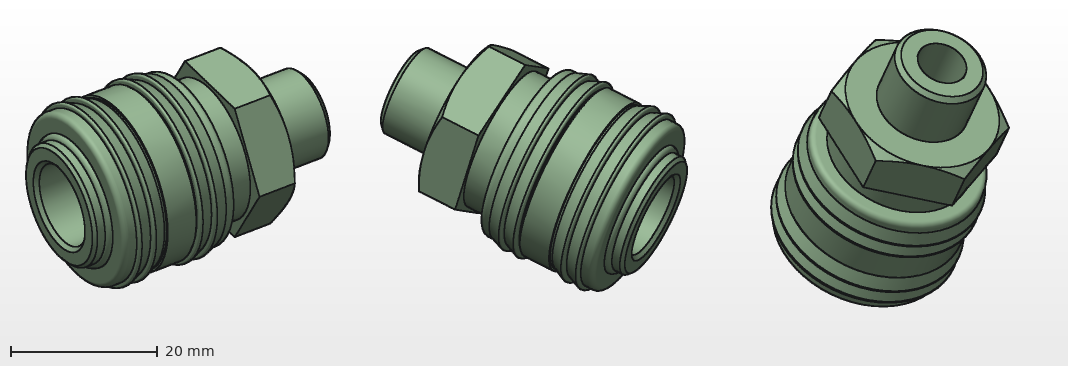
import cadquery as cq
import math


collar_front = 1.75
sleeve_front = 2.5
sleeve_rear = 20.5
hex_front = 24.3
hex_rear = 31.0
total_length = 40.0

nose_radius = 9.0
nose_chamfer = 0.5
collar_fillet = sleeve_front - collar_front
collar_radius = nose_radius + collar_fillet

sleeve_radius = 12.7
sleeve_fillet = 0.8
groove_radius = 12.5
groove_width = 0.33
band_radius = 12.85

crest_radius = 13.4
crest_round = 0.28
crest_land = 0.15
tooth_root_radius = 12.6
tooth_pitch = 2.3
front_teeth_start = 4.5
rear_teeth_start = 14.33

neck_radius = 10.35
across_flats = 22.0
hex_chamfer_angle = 30.0
spigot_radius = 6.55
spigot_chamfer = 0.7

socket_radius = 6.0
socket_chamfer = 0.6
socket_depth = sleeve_rear
passage_radius = 3.5


def cylinder(radius, start, end):
    """Cylinder about the Y axis between two stations."""
    return cq.Workplane("XZ", origin=(0, start, 0)).circle(radius).extrude(start - end)


def add_tooth(profile, face_station, end_radius):
    """Continue a (radius, station) profile over one tooth, ending at the foot of its cone."""
    land_start = face_station + crest_round
    return (
        profile.lineTo(crest_radius - crest_round, face_station)
        .radiusArc((crest_radius, land_start), -crest_round)
        .lineTo(crest_radius, land_start + crest_land)
        .lineTo(end_radius, face_station + tooth_pitch)
    )


def make_sleeve():
    band_front = front_teeth_start + 2 * tooth_pitch + groove_width
    band_rear = rear_teeth_start - groove_width

    profile = (
        cq.Workplane("XY")
        .moveTo(0, sleeve_front)
        .lineTo(sleeve_radius - sleeve_fillet, sleeve_front)
        .radiusArc((sleeve_radius, sleeve_front + sleeve_fillet), -sleeve_fillet)
        .lineTo(sleeve_radius, front_teeth_start)
    )
    profile = add_tooth(profile, front_teeth_start, tooth_root_radius)
    profile = add_tooth(profile, front_teeth_start + tooth_pitch, groove_radius)
    profile = (
        profile.lineTo(groove_radius, band_front)
        .lineTo(band_radius, band_front)
        .lineTo(band_radius, band_rear)
        .lineTo(groove_radius, band_rear)
        .lineTo(groove_radius, rear_teeth_start)
    )
    profile = add_tooth(profile, rear_teeth_start, tooth_root_radius)
    profile = add_tooth(profile, rear_teeth_start + tooth_pitch, sleeve_radius)
    profile = (
        profile.lineTo(sleeve_radius, sleeve_rear - sleeve_fillet)
        .radiusArc((sleeve_radius - sleeve_fillet, sleeve_rear), -sleeve_fillet)
        .lineTo(0, sleeve_rear)
    )
    return profile.close().revolve(360, (0, 0, 0), (0, 1, 0))


def make_nose():
    """Chamfered nose with the rounded collar, reaching into the sleeve."""
    nose = cylinder(nose_radius, 0, sleeve_rear).faces("<Y").chamfer(nose_chamfer)
    collar = cylinder(collar_radius, collar_front, sleeve_rear).faces("<Y").edges().fillet(collar_fillet)
    return nose.union(collar)


def make_hexagon():
    """Hexagon with flats facing +Z and -Z, its rear corners turned off by a cone."""
    flat_radius = across_flats / 2
    corner_radius = flat_radius / math.cos(math.pi / 6)
    prism = (
        cq.Workplane("XZ", origin=(0, hex_front, 0))
        .polygon(6, 2 * corner_radius)
        .extrude(hex_front - hex_rear)
    )
    slope = math.tan(math.radians(hex_chamfer_angle))
    hex_length = hex_rear - hex_front
    cone = (
        cq.Workplane("XY")
        .moveTo(0, hex_front)
        .lineTo(flat_radius + hex_length / slope, hex_front)
        .lineTo(flat_radius, hex_rear)
        .lineTo(0, hex_rear)
        .close()
        .revolve(360, (0, 0, 0), (0, 1, 0))
    )
    return prism.intersect(cone)


def make_spigot():
    return cylinder(spigot_radius, hex_front, total_length).faces(">Y").chamfer(spigot_chamfer)


def cut_bores(body):
    """Chamfered socket from the front and a passage through the whole length."""
    body = body.cut(cylinder(socket_radius, 0, socket_depth))
    body = body.faces("<Y").edges(cq.selectors.RadiusNthSelector(0)).chamfer(socket_chamfer)
    return body.cut(cylinder(passage_radius, 0, total_length))


coupling = make_nose().union(make_sleeve())
coupling = coupling.union(cylinder(neck_radius, sleeve_rear - sleeve_fillet, hex_front))
coupling = coupling.union(make_hexagon())
coupling = coupling.union(make_spigot())
result = cut_bores(coupling)